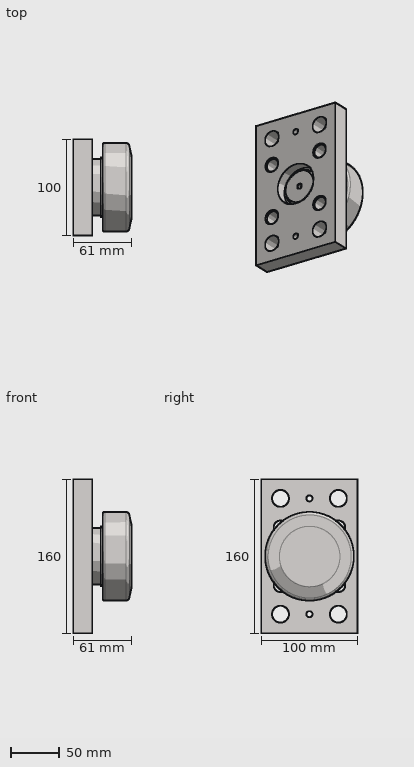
import cadquery as cq
import math

plate_thickness = 20.0
plate_width = 100.0
plate_height = 160.0

hole_offset_y = plate_width * 0.3
outer_row_z = plate_height * 0.375
inner_row_z = outer_row_z / 2
clearance_diameter = 17.3
dowel_diameter = 6.0
tapped_diameter = 14.0
tapped_mouth_diameter = 16.3

recess_diameter = 45.1
recess_depth = 12.0
pin_radius = 19.8
pin_face_depth = 6.9
pin_chamfer_width = 2.2
pin_chamfer_length = 3.8
center_hole_diameter = 5.0
center_mouth_diameter = 6.0
center_hole_depth = 4.8
drill_half_angle = math.radians(59)

neck_radius = 29.5
collar_start = 29.0
collar_radius = 31.2
collar_taper = 0.6
roller_radius = 46.0
roller_start = 30.7
roller_end = 61.0
back_fillet = 2.0
front_fillet = 3.8
front_fillet_start = 54.7
front_face_radius = 31.4
front_cone_angle = math.radians(12.4)


def revolve_about_x(profile):
    """Turn a closed (X, radius) profile about the X axis."""
    return profile.close().revolve(360, (0, 0, 0), (1, 0, 0))


def plate_holes(points, diameter):
    """Cylinders along X through the plate at the given (Y, Z) points."""
    return cq.Workplane("YZ").pushPoints(points).circle(diameter / 2).extrude(plate_thickness)


def four_corners(z):
    return [(y_sign * hole_offset_y, z_sign * z) for y_sign in (-1, 1) for z_sign in (-1, 1)]


def make_plate():
    plate = cq.Workplane("XY").box(plate_thickness, plate_width, plate_height, centered=(False, True, True))
    plate = plate.cut(plate_holes(four_corners(outer_row_z), clearance_diameter))
    plate = plate.cut(plate_holes([(0, -outer_row_z), (0, outer_row_z)], dowel_diameter))
    plate = plate.cut(plate_holes(four_corners(inner_row_z), tapped_diameter))

    mouth_depth = (tapped_mouth_diameter - tapped_diameter) / 2
    for y, z in four_corners(inner_row_z):
        mouth = cq.Solid.makeCone(
            tapped_mouth_diameter / 2, tapped_diameter / 2, mouth_depth,
            cq.Vector(0, y, z), cq.Vector(1, 0, 0),
        )
        plate = plate.cut(cq.Workplane(mouth))

    recess = cq.Workplane("YZ").circle(recess_diameter / 2).extrude(recess_depth)
    return plate.cut(recess)


def make_pin_end():
    profile = (
        cq.Workplane("XY")
        .moveTo(pin_face_depth, 0)
        .lineTo(pin_face_depth, pin_radius - pin_chamfer_width)
        .lineTo(pin_face_depth + pin_chamfer_length, pin_radius)
        .lineTo(plate_thickness, pin_radius)
        .lineTo(plate_thickness, 0)
    )
    return revolve_about_x(profile)


def make_center_hole():
    """Blind hole in the pin face with a 45 degree countersink, ending in a drill point."""
    radius = center_hole_diameter / 2
    bottom = pin_face_depth + center_hole_depth
    tip = bottom + radius / math.tan(drill_half_angle)
    mouth_radius = center_mouth_diameter / 2
    profile = (
        cq.Workplane("XY")
        .moveTo(pin_face_depth, 0)
        .lineTo(pin_face_depth, mouth_radius)
        .lineTo(pin_face_depth + mouth_radius - radius, radius)
        .lineTo(bottom, radius)
        .lineTo(tip, 0)
    )
    return revolve_about_x(profile)


def make_roller():
    fillet_center_radius = roller_radius - front_fillet
    fillet_middle = (math.pi / 2 + front_cone_angle) / 2

    def fillet_point(angle):
        return (
            front_fillet_start + front_fillet * math.cos(angle),
            fillet_center_radius + front_fillet * math.sin(angle),
        )

    back_inset = back_fillet * (1 - math.sqrt(0.5))
    profile = (
        cq.Workplane("XY")
        .moveTo(plate_thickness, 0)
        .lineTo(plate_thickness, neck_radius)
        .lineTo(collar_start, neck_radius)
        .lineTo(collar_start, collar_radius)
        .lineTo(roller_start, collar_radius - collar_taper)
        .lineTo(roller_start, roller_radius - back_fillet)
        .threePointArc(
            (roller_start + back_inset, roller_radius - back_inset),
            (roller_start + back_fillet, roller_radius),
        )
        .lineTo(front_fillet_start, roller_radius)
        .threePointArc(fillet_point(fillet_middle), fillet_point(front_cone_angle))
        .lineTo(roller_end, front_face_radius)
        .lineTo(roller_end, 0)
    )
    return revolve_about_x(profile)


result = make_plate().union(make_pin_end()).union(make_roller()).cut(make_center_hole())